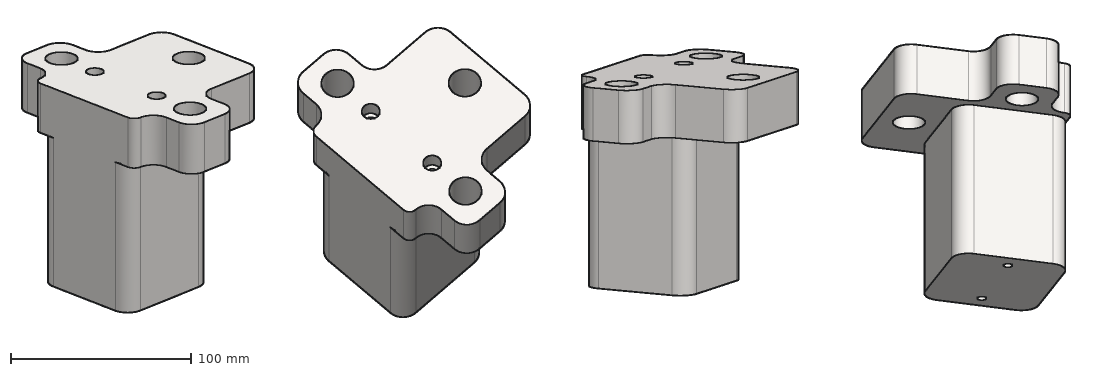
import cadquery as cq

plate_thickness = 30.0
body_width = 78.0
ear_span = 138.0
ear_width = 36.0
back_y = 68.0
corner_radius = 10.0
front_corner_radius = 5.0

front_y = -(ear_width / 2 + corner_radius + front_corner_radius)

post_height = 90.0
post_width = body_width - 2 * front_corner_radius
post_depth = 66.0

mount_diameter = 18.0
mount_pitch = 50.0

bolt_spacing = 48.0
bolt_diameter = 5.0
counterbore_diameter = 10.0
counterbore_depth = 10.0

total_height = post_height + plate_thickness


def plate_outline():
    """Right half of the plate outline, from the front to the back of the centre line."""
    body_x = body_width / 2
    ear_x = ear_span / 2
    ear_y = ear_width / 2
    r = corner_radius
    front_r = front_corner_radius
    return (
        cq.Workplane("XY", origin=(0, 0, post_height))
        .moveTo(0, front_y)
        .lineTo(body_x - front_r, front_y)
        .tangentArcPoint((body_x, front_y + front_r), relative=False)
        .tangentArcPoint((body_x + r, -ear_y), relative=False)
        .lineTo(ear_x - r, -ear_y)
        .tangentArcPoint((ear_x, -ear_y + r), relative=False)
        .lineTo(ear_x, ear_y - r)
        .tangentArcPoint((ear_x - r, ear_y), relative=False)
        .lineTo(body_x + r, ear_y)
        .tangentArcPoint((body_x, ear_y + r), relative=False)
        .lineTo(body_x, back_y - r)
        .tangentArcPoint((body_x - r, back_y), relative=False)
        .lineTo(0, back_y)
        .mirrorY()
    )


def make_plate():
    return plate_outline().extrude(plate_thickness)


def make_post():
    return (
        cq.Workplane("XY", origin=(0, front_y + post_depth / 2, 0))
        .rect(post_width, post_depth)
        .extrude(post_height)
        .edges("|Z")
        .fillet(corner_radius)
    )


def drill_mounting_holes(solid):
    centers = [(-mount_pitch, 0), (mount_pitch, 0), (0, mount_pitch)]
    cutters = (
        cq.Workplane("XY", origin=(0, 0, post_height))
        .pushPoints(centers)
        .circle(mount_diameter / 2)
        .extrude(plate_thickness)
    )
    return solid.cut(cutters)


def drill_bolt_holes(solid):
    return (
        solid.faces(">Z")
        .workplane(origin=(0, 0, total_height))
        .pushPoints([(-bolt_spacing / 2, 0), (bolt_spacing / 2, 0)])
        .cboreHole(bolt_diameter, counterbore_diameter, counterbore_depth)
    )


result = make_plate().union(make_post())
result = drill_mounting_holes(result)
result = drill_bolt_holes(result)